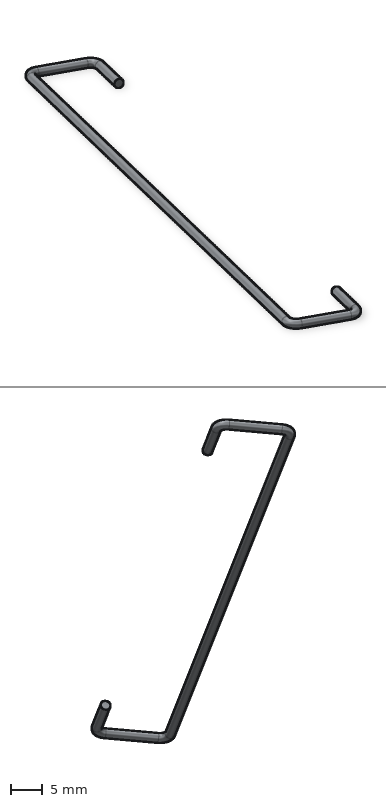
import cadquery as cq

length = 106.2
depth = 13.3
wire_diameter = 1.6
bend_outer_radius = 2.4
hook_length = 10.0

wire_radius = wire_diameter / 2
bend_radius = bend_outer_radius - wire_radius

arm_x = length / 2 - wire_radius
rail_y = -depth / 2 + wire_radius
hook_y = depth / 2 - wire_radius
tip_x = length / 2 - hook_length
bend_x = arm_x - bend_radius

centreline = (
    cq.Workplane("XY")
    .moveTo(-tip_x, hook_y)
    .lineTo(-bend_x, hook_y)
    .tangentArcPoint((-arm_x, hook_y - bend_radius), relative=False)
    .lineTo(-arm_x, rail_y + bend_radius)
    .tangentArcPoint((-bend_x, rail_y), relative=False)
    .lineTo(bend_x, rail_y)
    .tangentArcPoint((arm_x, rail_y + bend_radius), relative=False)
    .lineTo(arm_x, hook_y - bend_radius)
    .tangentArcPoint((bend_x, hook_y), relative=False)
    .lineTo(tip_x, hook_y)
)

result = cq.Workplane("YZ", origin=(-tip_x, hook_y, 0)).circle(wire_radius).sweep(centreline)